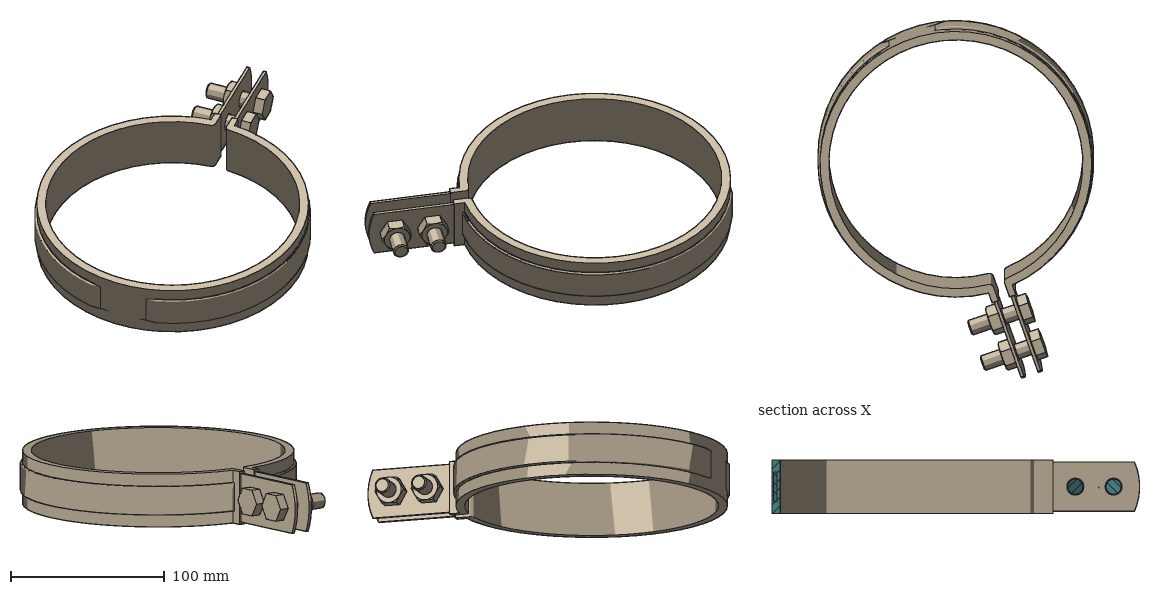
import cadquery as cq
import math


OVERALL_LENGTH = 239.2

LINER_HEIGHT = 35.0
LINER_OUTER_RADIUS = 88.3
LINER_THICKNESS = 5.7
LINER_INNER_RADIUS = LINER_OUTER_RADIUS - LINER_THICKNESS
SLEEVE_INNER_X = 3.8
SLEEVE_OUTER_X = 8.1
SLEEVE_END_Y = 94.7
SLEEVE_CORNER_RADIUS = 2.9

STRAP_THICKNESS = 2.0
BAND_OUTER_RADIUS = 89.7
BAND_INNER_RADIUS = BAND_OUTER_RADIUS - STRAP_THICKNESS
BAND_HEIGHT = 19.0
BAND_FLAT_DISTANCE = 86.8
BAND_BEND_RADIUS = 13.2
BAND_EDGE_RADIUS = 0.7

EAR_INNER_X = 4.8
EAR_OUTER_X = EAR_INNER_X + STRAP_THICKNESS
EAR_HEIGHT = 32.0
EAR_TIP_Y = OVERALL_LENGTH - LINER_OUTER_RADIUS
EAR_TIP_RADIUS = 40.0
EAR_FOOT_Y = math.sqrt(BAND_INNER_RADIUS**2 - EAR_OUTER_X**2)
BOLT_HOLE_DIAMETER = 11.0

BOLT_DIAMETER = 10.0
BOLT_TIP_DIAMETER = 8.4
BOLT_END_X = -28.5
HEX_ACROSS_FLATS = 17.0
HEX_ACROSS_CORNERS = HEX_ACROSS_FLATS / math.cos(math.pi / 6)
HEAD_THICKNESS = 6.5
NUT_THICKNESS = 8.0
NUT_CHAMFER_ANGLE = 30
BOLT_OUTER_Y = 134.0
BOLT_SPACING = 24.9
BOLT_PLACES_Y = [BOLT_OUTER_Y - BOLT_SPACING, BOLT_OUTER_Y]


def block(x_min, x_max, y_min, y_max, height):
    """Box between the given X and Y limits, centred on Z = 0."""
    return (
        cq.Workplane("XY")
        .box(x_max - x_min, y_max - y_min, height)
        .translate(((x_min + x_max) / 2, (y_min + y_max) / 2, 0))
    )


def disc(radius, height):
    """Cylinder on the clamp axis, centred on Z = 0."""
    return cq.Workplane("XY").cylinder(height, radius)


def both_sides(body):
    """The body together with its mirror image about the YZ plane."""
    return body.union(body.mirror("YZ"))


def flattened_disc(radius, flat_distance, bend_radius, height):
    """Disc cut flat on its -Y side, with the flat blended into the round."""
    keep = block(-radius, radius, -flat_distance, radius, height)
    return disc(radius, height).intersect(keep).edges("|Z and <Y").fillet(bend_radius)


def make_band():
    """Strap band around the liner, open between the ears, with rounded outer edges."""
    outer = flattened_disc(BAND_OUTER_RADIUS, BAND_FLAT_DISTANCE, BAND_BEND_RADIUS, BAND_HEIGHT)
    outer = outer.faces(">Z or <Z").edges().fillet(BAND_EDGE_RADIUS)
    inner = flattened_disc(
        BAND_INNER_RADIUS,
        BAND_FLAT_DISTANCE - STRAP_THICKNESS,
        BAND_BEND_RADIUS - STRAP_THICKNESS,
        BAND_HEIGHT,
    )
    gap = block(-EAR_INNER_X, EAR_INNER_X, 0, BAND_OUTER_RADIUS, BAND_HEIGHT)
    return outer.cut(inner).cut(gap)


def make_ear():
    """Ear plate on the +X side with its arched end and two bolt holes."""
    half_height = EAR_HEIGHT / 2
    shoulder_y = EAR_TIP_Y - EAR_TIP_RADIUS + math.sqrt(EAR_TIP_RADIUS**2 - half_height**2)
    plate = (
        cq.Workplane("YZ", origin=(EAR_INNER_X, 0, 0))
        .moveTo(EAR_FOOT_Y, -half_height)
        .lineTo(shoulder_y, -half_height)
        .threePointArc((EAR_TIP_Y, 0), (shoulder_y, half_height))
        .lineTo(EAR_FOOT_Y, half_height)
        .close()
        .extrude(STRAP_THICKNESS)
    )
    holes = (
        cq.Workplane("YZ", origin=(EAR_INNER_X, 0, 0))
        .pushPoints([(y, 0) for y in BOLT_PLACES_Y])
        .circle(BOLT_HOLE_DIAMETER / 2)
        .extrude(STRAP_THICKNESS)
    )
    return plate.cut(holes)


def make_strap():
    """Band and both ears as one metal part."""
    return make_band().union(both_sides(make_ear()))


def make_liner(strap):
    """Split ring with sleeved ends, recessed to take the strap."""
    bore = disc(LINER_INNER_RADIUS, LINER_HEIGHT)
    sleeve = block(SLEEVE_INNER_X, SLEEVE_OUTER_X, 0, SLEEVE_END_Y, LINER_HEIGHT)
    gap = block(-SLEEVE_INNER_X, SLEEVE_INNER_X, 0, SLEEVE_END_Y, LINER_HEIGHT)
    ring = disc(LINER_OUTER_RADIUS, LINER_HEIGHT).union(both_sides(sleeve)).cut(bore).cut(gap)

    corner_y = math.sqrt(LINER_INNER_RADIUS**2 - SLEEVE_INNER_X**2)
    for corner_x in (-SLEEVE_INNER_X, SLEEVE_INNER_X):
        corner = cq.selectors.NearestToPointSelector((corner_x, corner_y, 0))
        ring = ring.edges("|Z").edges(corner).fillet(SLEEVE_CORNER_RADIUS)
    return ring.cut(strap)


def hexagon(x_start, thickness, y):
    """Hexagonal prism along X with two corners pointing along Y."""
    return (
        cq.Workplane("YZ", origin=(x_start, y, 0))
        .polygon(6, HEX_ACROSS_CORNERS)
        .extrude(thickness)
    )


def make_nut(y):
    """Hexagon nut against the -X ear, its outer corners turned down to the width across flats."""
    start_x = -EAR_OUTER_X - NUT_THICKNESS
    corner_depth = (HEX_ACROSS_CORNERS - HEX_ACROSS_FLATS) / 2
    chamfer_length = corner_depth * math.tan(math.radians(NUT_CHAMFER_ANGLE))
    turned_blank = (
        cq.Workplane("YZ", origin=(start_x, y, 0))
        .circle(HEX_ACROSS_CORNERS / 2)
        .extrude(NUT_THICKNESS)
        .faces("<X")
        .chamfer(chamfer_length, corner_depth)
    )
    return hexagon(start_x, NUT_THICKNESS, y).intersect(turned_blank)


def make_bolt(y):
    """Tightened bolt with its nut, lying along X."""
    shank = (
        cq.Workplane("YZ", origin=(BOLT_END_X, y, 0))
        .circle(BOLT_DIAMETER / 2)
        .extrude(EAR_OUTER_X - BOLT_END_X)
        .faces("<X")
        .chamfer((BOLT_DIAMETER - BOLT_TIP_DIAMETER) / 2)
    )
    head = hexagon(EAR_OUTER_X, HEAD_THICKNESS, y)
    return shank.union(head).union(make_nut(y))


strap = make_strap()
liner = make_liner(strap)
bolts = [make_bolt(y) for y in BOLT_PLACES_Y]

result = cq.Compound.makeCompound([liner.val(), strap.val(), *[bolt.val() for bolt in bolts]])